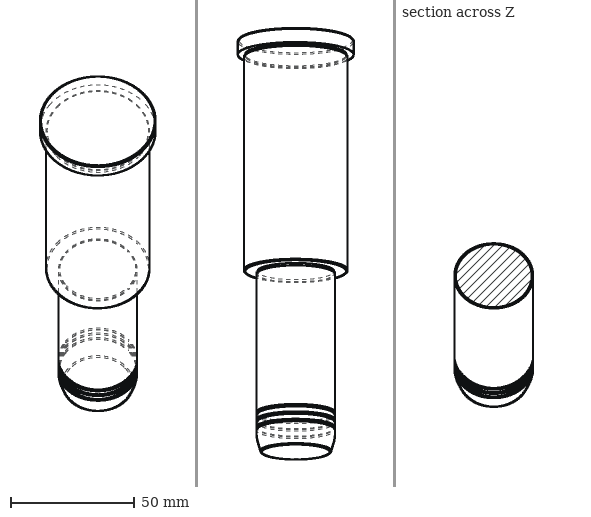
import cadquery as cq

total_length = 171.0
head_height = 6.0
relief_height = 0.5
shoulder_z = 75.0
undercut_height = 1.0
nose_height = 7.2

head_diameter = 47.0
body_diameter = 42.0
relief_diameter = 41.0
shank_diameter = 32.0
undercut_diameter = 31.0
tip_diameter = 28.7

head_chamfer = 0.5
body_chamfer = 0.5
tip_chamfer = 0.5

groove_count = 3
groove_width = 1.0
groove_depth = 0.5
groove_pitch = 3.0
first_groove_z = 9.2

nose_bulge = 0.25


def cylinder(diameter, bottom_z, top_z):
    return cq.Workplane("XY").workplane(offset=bottom_z).circle(diameter / 2).extrude(top_z - bottom_z)


def make_nose():
    """Slightly bowed taper from the shank down to the chamfered tip."""
    tip_radius = tip_diameter / 2
    shank_radius = shank_diameter / 2
    middle_radius = (tip_radius + shank_radius) / 2 + nose_bulge
    middle_z = (tip_chamfer + nose_height) / 2
    return (
        cq.Workplane("XZ")
        .moveTo(0, 0)
        .lineTo(tip_radius - tip_chamfer, 0)
        .lineTo(tip_radius, tip_chamfer)
        .threePointArc((middle_radius, middle_z), (shank_radius, nose_height))
        .lineTo(0, nose_height)
        .close()
        .revolve(360, (0, 0), (0, 1))
    )


def make_groove(bottom_z):
    """V-shaped ring of material to remove from the shank."""
    shank_radius = shank_diameter / 2
    return (
        cq.Workplane("XZ")
        .moveTo(shank_radius, bottom_z)
        .lineTo(shank_radius - groove_depth, bottom_z + groove_width / 2)
        .lineTo(shank_radius, bottom_z + groove_width)
        .close()
        .revolve(360, (0, 0), (0, 1))
    )


head_bottom_z = total_length - head_height
body_top_z = head_bottom_z - relief_height
shank_top_z = shoulder_z - undercut_height

shank = cylinder(shank_diameter, nose_height, shank_top_z)
for index in range(groove_count):
    shank = shank.cut(make_groove(first_groove_z + index * groove_pitch))

undercut = cylinder(undercut_diameter, shank_top_z, shoulder_z)
body = cylinder(body_diameter, shoulder_z, body_top_z).faces("<Z or >Z").chamfer(body_chamfer)
relief = cylinder(relief_diameter, body_top_z, head_bottom_z)
head = cylinder(head_diameter, head_bottom_z, total_length).faces(">Z").chamfer(head_chamfer)

result = make_nose().union(shank).union(undercut).union(body).union(relief).union(head)